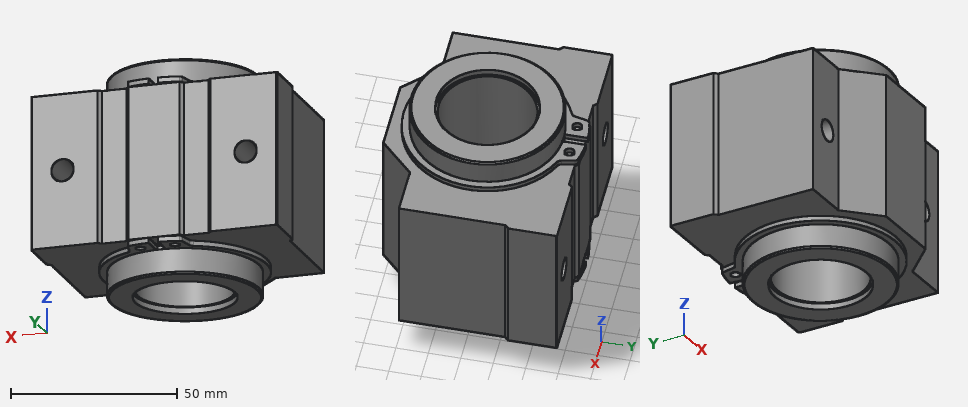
import cadquery as cq
import math

block_width = 78.0
block_height = 48.35
body_width = 75.65
top_y = 29.95
flange_y = -19.0
nose_y = -29.6
nose_root_half = 22.4
nose_tip_half = nose_root_half - (flange_y - nose_y)
side_edge_y = 14.9
relief_depth = 1.1
relief_outer_half = 17.95
pad_half = 8.0
corner_chamfer = 0.3

mount_hole_diameter = 7.0
mount_hole_spacing = 58.0

bearing_diameter = 47.0
bearing_length = 68.0
bore_diameter = 30.0
recess_diameter = 31.6
recess_depth = 2.0
bearing_chamfer = 0.55

ring_inner_diameter = 44.5
ring_outer_diameter = 51.8
ring_thickness = 1.6
ring_clearance = 0.2
ring_gap = 3.0
lug_radius = 30.65
lug_root_half = 9.7
lug_tip_half = 8.5
lug_root_fillet = 1.55
lug_tip_fillet = 0.9
lug_hole_diameter = 3.0
lug_hole_x = 5.45
lug_hole_y = 26.45

ring_inner_z = block_height / 2 + ring_clearance
ring_bottoms = (ring_inner_z, -ring_inner_z - ring_thickness)


def cylinder(diameter, height, bottom):
    """Cylinder on the bearing axis, starting at the given Z."""
    return cq.Workplane("XY").workplane(offset=bottom).circle(diameter / 2).extrude(height)


def y_on_circle(radius, x):
    return math.sqrt(radius**2 - x**2)


def make_housing():
    outer_half = block_width / 2
    body_half = body_width / 2
    step = outer_half - body_half
    half_outline = [
        (0, top_y),
        (pad_half, top_y),
        (pad_half + relief_depth, top_y - relief_depth),
        (relief_outer_half - relief_depth, top_y - relief_depth),
        (relief_outer_half, top_y),
        (outer_half - corner_chamfer, top_y),
        (outer_half, top_y - corner_chamfer),
        (outer_half, side_edge_y),
        (body_half, side_edge_y - step),
        (body_half, flange_y),
        (nose_root_half, flange_y),
        (nose_tip_half, nose_y),
        (0, nose_y),
    ]
    half_block = (
        cq.Workplane("XY")
        .polyline(half_outline)
        .close()
        .extrude(block_height / 2, both=True)
    )
    block = half_block.union(half_block.mirror("YZ")).clean()
    bearing_seat = cylinder(bearing_diameter, block_height, -block_height / 2)
    mount_holes = (
        cq.Workplane("XZ")
        .pushPoints([(-mount_hole_spacing / 2, 0), (mount_hole_spacing / 2, 0)])
        .circle(mount_hole_diameter / 2)
        .extrude(block_width, both=True)
    )
    return block.cut(bearing_seat).cut(mount_holes)


def make_bearing():
    bottom = -bearing_length / 2
    bearing = cylinder(bearing_diameter, bearing_length, bottom).faces("<Z or >Z").chamfer(bearing_chamfer)
    bearing = bearing.cut(cylinder(bore_diameter, bearing_length, bottom))
    for recess_bottom in (bottom, -bottom - recess_depth):
        bearing = bearing.cut(cylinder(recess_diameter, recess_depth, recess_bottom))
    for groove_bottom in ring_bottoms:
        groove = cylinder(bearing_diameter, ring_thickness, groove_bottom).cut(
            cylinder(ring_inner_diameter, ring_thickness, groove_bottom)
        )
        bearing = bearing.cut(groove)
    return bearing


def fillet_lug_corners(ring, half_spacing, y, radius):
    """Round the two mirrored Z edges at the given X and Y distances."""
    middle = ring.val().Center().z
    for x in (-half_spacing, half_spacing):
        ring = ring.edges("|Z").edges(cq.selectors.NearestToPointSelector((x, y, middle))).fillet(radius)
    return ring


def make_retaining_ring(bottom):
    plane = cq.Workplane("XY").workplane(offset=bottom)
    root_y = y_on_circle(ring_outer_diameter / 2, lug_root_half)
    tip_y = y_on_circle(lug_radius, lug_tip_half)
    lugs = (
        plane.moveTo(-lug_root_half, root_y)
        .lineTo(-lug_tip_half, tip_y)
        .threePointArc((0, lug_radius), (lug_tip_half, tip_y))
        .lineTo(lug_root_half, root_y)
        .lineTo(0, 0)
        .close()
        .extrude(ring_thickness)
    )
    gap = plane.center(0, lug_radius / 2).rect(ring_gap, lug_radius).extrude(ring_thickness)
    lug_holes = (
        plane.pushPoints([(-lug_hole_x, lug_hole_y), (lug_hole_x, lug_hole_y)])
        .circle(lug_hole_diameter / 2)
        .extrude(ring_thickness)
    )
    ring = cylinder(ring_outer_diameter, ring_thickness, bottom).union(lugs)
    ring = fillet_lug_corners(ring, lug_root_half, root_y, lug_root_fillet)
    ring = fillet_lug_corners(ring, lug_tip_half, tip_y, lug_tip_fillet)
    ring = ring.cut(cylinder(ring_inner_diameter, ring_thickness, bottom))
    return ring.cut(gap).cut(lug_holes)


housing = make_housing()
bearing = make_bearing()
retaining_rings = [make_retaining_ring(bottom) for bottom in ring_bottoms]

result = cq.Compound.makeCompound(
    [housing.val(), bearing.val(), *[ring.val() for ring in retaining_rings]]
)